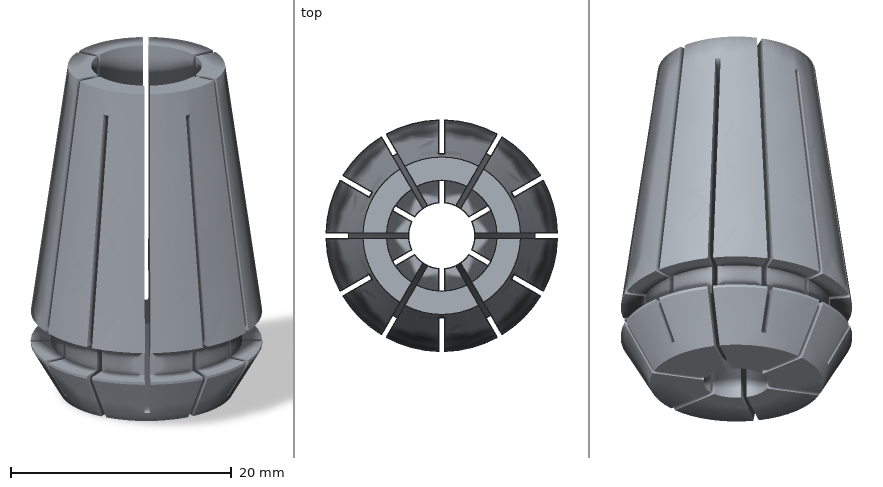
import cadquery as cq
import math

length = 31.5
max_radius = 10.5
taper_half_angle = 8.0
nose_half_angle = 30.0

nose_height = 4.8
rim_height = 0.25
groove_width = 2.85
groove_radius = 8.65

clamping_radius = 3.0
relief_radius = 5.0
clamping_depth = 15.75

slit_width = 0.5
slits_per_end = 6
slit_pitch = 360.0 / slits_per_end
cutter_radius = 18.27
cutter_offset = 19.35
top_slit_cutter_z = 15.72
bottom_slit_cutter_z = 15.35
overrun = 1.58


def make_body():
    """Revolve the double-tapered outline with its nut groove."""
    rim_bottom = nose_height - rim_height
    taper_bottom = nose_height + groove_width
    nose_radius = max_radius - rim_bottom * math.tan(math.radians(nose_half_angle))
    tail_radius = max_radius - (length - taper_bottom) * math.tan(math.radians(taper_half_angle))
    outline = [
        (0, 0),
        (nose_radius, 0),
        (max_radius, rim_bottom),
        (max_radius, nose_height),
        (groove_radius, nose_height),
        (groove_radius, taper_bottom),
        (max_radius, taper_bottom),
        (tail_radius, length),
        (0, length),
    ]
    return cq.Workplane("XZ").polyline(outline).close().revolve(360, (0, 0), (0, 1))


def make_bore():
    """Narrow clamping bore through the part, widened above the clamping length."""
    clamping = cq.Workplane("XY").circle(clamping_radius).extrude(length)
    relief = (
        cq.Workplane("XY")
        .workplane(offset=clamping_depth)
        .circle(relief_radius)
        .extrude(length - clamping_depth)
    )
    return clamping.union(relief)


def make_slit(cutter_z, direction):
    """One slit along +X; its closed end is an arc left by a disc cutter.

    direction is +1 for a slit open at the top and -1 for one open at the bottom.
    """
    inner = cutter_offset - cutter_radius
    arc_half = cutter_radius * math.sqrt(0.5)
    open_end = length + overrun if direction > 0 else -overrun
    profile = (
        cq.Workplane("XZ")
        .moveTo(inner, open_end)
        .lineTo(inner, cutter_z)
        .threePointArc(
            (cutter_offset - arc_half, cutter_z - direction * arc_half),
            (cutter_offset, cutter_z - direction * cutter_radius),
        )
        .lineTo(cutter_offset, open_end)
        .close()
    )
    return profile.extrude(slit_width / 2, both=True)


def cut_slits(body, slit, first_angle):
    """Cut evenly spaced copies of a slit around the axis."""
    for index in range(slits_per_end):
        angle = first_angle + index * slit_pitch
        body = body.cut(slit.rotate((0, 0, 0), (0, 0, 1), angle))
    return body


result = make_body().cut(make_bore())
result = cut_slits(result, make_slit(top_slit_cutter_z, 1), 0)
result = cut_slits(result, make_slit(bottom_slit_cutter_z, -1), slit_pitch / 2)